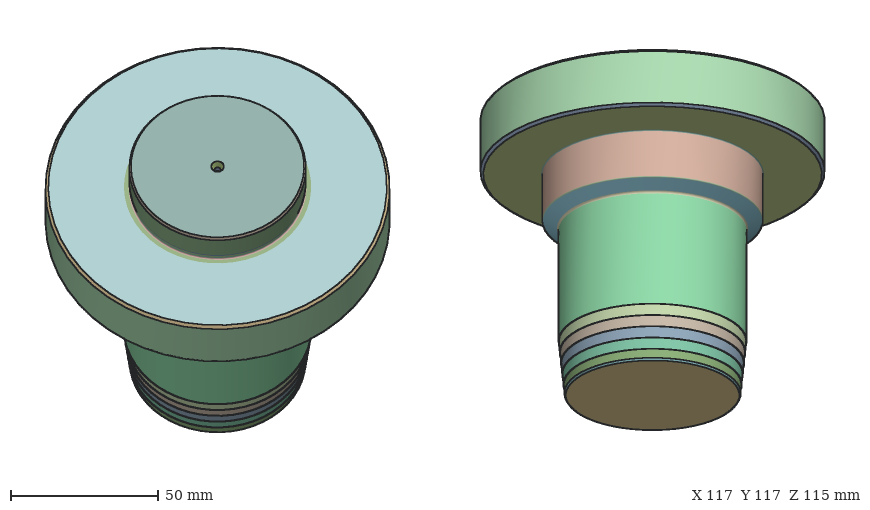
import cadquery as cq
import math

total_height = 115.0
flange_top = 103.0
flange_bottom = 82.0
neck_bottom = 64.7
taper_top = 20.0

flange_radius = 117.0 / 2
neck_radius = 75.0 / 2
shank_radius = 64.0 / 2
spigot_radius = 60.0 / 2

flange_chamfer = 1.0
spigot_chamfer_width = 0.6
spigot_chamfer_height = 1.0
tip_chamfer_width = 0.5
tip_chamfer_height = 0.8

shoulder_angle = 30.0
shoulder_fillet = 1.0
shoulder_edge_radius = 0.5
neck_root_radius = 0.4

taper_bands = 5
band_height = taper_top / taper_bands
band_angle = 3.0
band_step = 0.2

relief_depth = 0.3
relief_height = 2.3
relief_width = 1.8
relief_fillet = 0.6
relief_side_angle = 15.0
relief_blend_radius = 1.6
relief_floor_angle = 8.0

centre_mouth_radius = 4.25 / 2
centre_drill_radius = 2.0 / 2
centre_half_angle = 30.0
centre_drill_depth = 4.0
drill_point_half_angle = 59.0


def add_lower_end(profile):
    """Chamfered tip and stepped lead-in taper up to the shank."""
    band_growth = band_height * math.tan(math.radians(band_angle))
    tip_radius = shank_radius - taper_bands * (band_growth + band_step)
    chamfer_end_radius = tip_radius + tip_chamfer_height * math.tan(math.radians(band_angle))
    profile = profile.lineTo(chamfer_end_radius - tip_chamfer_width, 0)
    profile = profile.lineTo(chamfer_end_radius, tip_chamfer_height)
    for band in range(taper_bands):
        band_top = (band + 1) * band_height
        band_radius = tip_radius + band * (band_growth + band_step) + band_growth
        profile = profile.lineTo(band_radius, band_top)
        profile = profile.lineTo(band_radius + band_step, band_top)
    return profile


def add_shoulder(profile):
    """Cone from the shank out to the neck, rounded at both ends."""
    slope = math.radians(shoulder_angle)
    corner_z = neck_bottom - (neck_radius - shank_radius) * math.tan(slope)
    tangent = shoulder_fillet * math.tan((math.pi / 2 - slope) / 2)
    cone_start = (shank_radius + tangent * math.cos(slope), corner_z + tangent * math.sin(slope))
    profile = profile.lineTo(shank_radius, corner_z - tangent)
    profile = profile.tangentArcPoint(cone_start, relative=False)
    edge_tangent = shoulder_edge_radius * math.tan((math.pi / 2 - slope) / 2)
    cone_end = (
        neck_radius - edge_tangent * math.cos(slope),
        neck_bottom - edge_tangent * math.sin(slope),
    )
    profile = profile.lineTo(*cone_end)
    return profile.tangentArcPoint((neck_radius, neck_bottom + edge_tangent), relative=False)


def add_flange(profile):
    """Neck with a rounded root and the disc flange with both rims chamfered."""
    rim = flange_radius - flange_chamfer
    return (
        profile.lineTo(neck_radius, flange_bottom - neck_root_radius)
        .tangentArcPoint((neck_radius + neck_root_radius, flange_bottom), relative=False)
        .lineTo(rim, flange_bottom)
        .lineTo(flange_radius, flange_bottom + flange_chamfer)
        .lineTo(flange_radius, flange_top - flange_chamfer)
        .lineTo(rim, flange_top)
    )


def add_relief(profile):
    """Shallow groove cut into the flange face and the foot of the spigot."""
    root_radius = spigot_radius - relief_depth
    relief_top = flange_top + relief_height
    side_angle = math.radians(relief_side_angle)
    side_corner_z = relief_top - relief_depth / math.tan(side_angle)
    blend = relief_blend_radius * math.tan(side_angle / 2)
    blend_end = (
        root_radius + blend * math.sin(side_angle),
        side_corner_z + blend * math.cos(side_angle),
    )
    floor_slope = math.radians(relief_floor_angle)
    outer_radius = spigot_radius + relief_width
    corner_z = flange_top - (outer_radius - root_radius) * math.tan(floor_slope)
    tangent = relief_fillet * math.tan((math.pi / 2 - floor_slope) / 2)
    floor_end = (
        root_radius + tangent * math.cos(floor_slope),
        corner_z + tangent * math.sin(floor_slope),
    )
    return (
        profile.lineTo(outer_radius, flange_top)
        .lineTo(*floor_end)
        .tangentArcPoint((root_radius, corner_z + tangent), relative=False)
        .lineTo(root_radius, side_corner_z - blend)
        .tangentArcPoint(blend_end, relative=False)
        .lineTo(spigot_radius, relief_top)
    )


def add_spigot_top(profile):
    """Chamfered spigot rim, closed back to the axis."""
    return (
        profile.lineTo(spigot_radius, total_height - spigot_chamfer_height)
        .lineTo(spigot_radius - spigot_chamfer_width, total_height)
        .lineTo(0, total_height)
    )


def make_body():
    """Turned body; the half outline is revolved about the Z axis."""
    profile = cq.Workplane("XZ").moveTo(0, 0)
    for section in (add_lower_end, add_shoulder, add_flange, add_relief, add_spigot_top):
        profile = section(profile)
    return profile.close().revolve(360, (0, 0, 0), (0, 1, 0))


def make_centre_drilling():
    """Countersunk centre hole with a conical drill point."""
    sink_depth = (centre_mouth_radius - centre_drill_radius) / math.tan(math.radians(centre_half_angle))
    point_length = centre_drill_radius / math.tan(math.radians(drill_point_half_angle))
    drill_end = total_height - centre_drill_depth
    return (
        cq.Workplane("XZ")
        .moveTo(0, total_height)
        .lineTo(centre_mouth_radius, total_height)
        .lineTo(centre_drill_radius, total_height - sink_depth)
        .lineTo(centre_drill_radius, drill_end)
        .lineTo(0, drill_end - point_length)
        .close()
        .revolve(360, (0, 0, 0), (0, 1, 0))
    )


result = make_body().cut(make_centre_drilling())